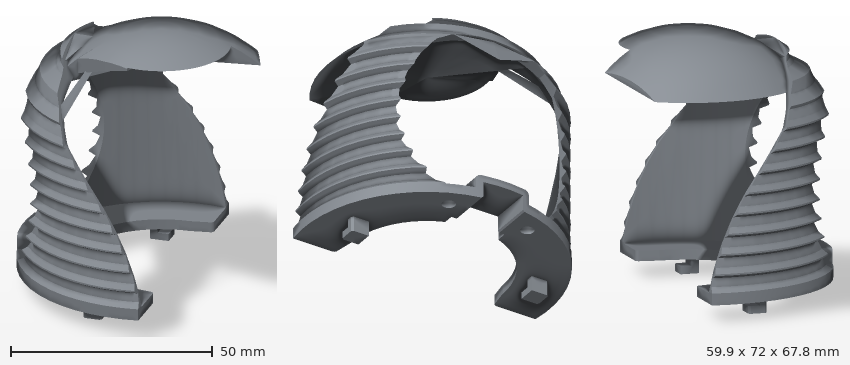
import cadquery as cq
import math

outer_radius = 36.0
end_x = 5.75

plate_top = 2.7
rim_top = 3.0
rim_chamfer = 0.2
plate_hole_radius = 22.3
end_hole_half_width = 23.25
end_fillet = 0.9

bridge_half_width = 7.8
bridge_top = 6.55
bridge_wall = 1.95
bridge_end_x = -23.75
bridge_fillet = 1.4
bridge_foot_chamfer = 0.4

screw_hole_diameter = 3.6
screw_hole_x = -28.45
screw_hole_y = 11.5

foot_depth = 4.2
foot_x = -10.95
foot_post_length = 1.95
foot_toe_length = 2.9
foot_toe_height = 1.9
foot_inner_y = 23.9
foot_width = 4.9
foot_chamfer = 0.5

inner_radius = 33.55
tooth_count = 8
tooth_pitch = 5.05
first_tooth_z = 7.35
tooth_tip_radius = 35.7
tooth_waist_radius = 34.7
valley_radius = 34.2
tooth_lip = 0.8
tooth_slope_height = 1.9
tooth_tip_height = 0.4
rim_slope_height = 1.4
crown_tip = (-22.7, 59.2)

window_half_width = 24.3
window_half_height = 28.1
window_centre_z = 24.85
window_top = 49.9
window_arch_radius = 36.0

cap_top = 63.6
cap_rim_radius = 29.1
cap_rim_z = 49.9
cap_apex_z = 55.6
disc_radius = 17.3
cap_start_angle = 55.0
cap_end_angle = 209.0
visor_corner = (23.9, 6.0)
flap_edge = [(-18.35, -10.4, 53.3), (-9.9, -14.6, 56.6), (-3.25, -17.3, 58.7)]

cap_drop = cap_top - cap_rim_z
cap_sphere_radius = (cap_rim_radius ** 2 + cap_drop ** 2) / (2 * cap_drop)
cap_centre_z = cap_top - cap_sphere_radius
clearance = 7.2
tall = 86.4


def polyhedron(points, faces):
    """Solid bounded by flat polygons; faces list point indices."""
    polygons = []
    for face in faces:
        corners = [cq.Vector(*points[i]) for i in face]
        polygons.append(cq.Face.makeFromWires(cq.Wire.makePolygon(corners, close=True)))
    return cq.Workplane(obj=cq.Solid.makeSolid(cq.Shell.makeShell(polygons)))


def tetrahedron(points):
    return polyhedron(points, [(0, 1, 2), (0, 3, 1), (1, 3, 2), (0, 2, 3)])


def half_disc(radius, height):
    """Cylinder about Z trimmed at the flat ends of the base."""
    length = end_x + radius + clearance
    trim = cq.Workplane("XY").box(length, 3 * radius, height, centered=(False, True, False))
    trim = trim.translate((end_x - length, 0, 0))
    return cq.Workplane("XY").circle(radius).extrude(height).intersect(trim)


def centred_block(x_start, x_end, half_width, height):
    block = cq.Workplane("XY").box(x_end - x_start, 2 * half_width, height, centered=(False, True, False))
    return block.translate((x_start, 0, 0))


def base_plate():
    plate = half_disc(outer_radius, plate_top)
    plate = plate.cut(cq.Workplane("XY").circle(plate_hole_radius).extrude(plate_top))
    flare = (
        cq.Workplane("XY")
        .polyline([
            (0, -plate_hole_radius),
            (end_x, -end_hole_half_width),
            (end_x, end_hole_half_width),
            (0, plate_hole_radius),
        ])
        .close()
        .extrude(plate_top)
    )
    plate = plate.cut(flare)
    inner_corners = cq.selectors.BoxSelector(
        (end_x - 0.1, -end_hole_half_width - 0.1, 0),
        (end_x + 0.1, end_hole_half_width + 0.1, plate_top),
    )
    plate = plate.edges("|Z").edges(inner_corners).fillet(end_fillet)
    plate = plate.cut(centred_block(-outer_radius, 0, bridge_half_width, plate_top))
    screw_points = [(screw_hole_x, -screw_hole_y), (screw_hole_x, screw_hole_y)]
    screw_holes = cq.Workplane("XY").pushPoints(screw_points).circle(screw_hole_diameter / 2).extrude(plate_top)
    return plate.cut(screw_holes)


def bridge():
    length = outer_radius + bridge_end_x
    inside_half_width = bridge_half_width - bridge_wall
    body = centred_block(-outer_radius, bridge_end_x, bridge_half_width, bridge_top)
    body = body.edges("|X and >Z").fillet(bridge_fillet)
    channel = centred_block(-outer_radius, bridge_end_x, inside_half_width, bridge_top - bridge_wall)
    body = body.cut(channel)
    inner_foot_edges = cq.selectors.BoxSelector(
        (-outer_radius - length, -inside_half_width - 0.1, -0.1),
        (0, inside_half_width + 0.1, 0.1),
    )
    body = body.edges("|X").edges(inner_foot_edges).chamfer(bridge_foot_chamfer)
    return body.intersect(half_disc(outer_radius, bridge_top))


def foot(side):
    toe_end = foot_x + foot_post_length + foot_toe_length
    hook = (
        cq.Workplane("XZ")
        .moveTo(foot_x, plate_top)
        .lineTo(foot_x, -foot_depth)
        .lineTo(toe_end, -foot_depth)
        .lineTo(toe_end, foot_toe_height - foot_depth)
        .lineTo(foot_x + foot_post_length, foot_toe_height - foot_depth)
        .lineTo(foot_x + foot_post_length, plate_top)
        .close()
        .extrude(-foot_width)
        .translate((0, foot_inner_y, 0))
    )
    hook = hook.faces(">Y").edges("<X or >X").chamfer(foot_chamfer)
    return hook if side > 0 else hook.mirror("XZ")


def shell_body():
    outline = [
        (inner_radius, 0),
        (outer_radius - rim_chamfer, 0),
        (outer_radius, rim_chamfer),
        (outer_radius, rim_top),
        (tooth_waist_radius, rim_top + rim_slope_height),
    ]
    for tooth in range(tooth_count):
        tip_z = first_tooth_z + tooth * tooth_pitch
        outline += [
            (valley_radius, tip_z - tooth_lip),
            (tooth_tip_radius, tip_z),
            (tooth_tip_radius, tip_z + tooth_tip_height),
            (tooth_waist_radius, tip_z + tooth_slope_height),
        ]
    stepped_crown = [
        (33.5, 46.9),
        (33.8, 47.7),
        (31.4, 50.0),
        (30.45, 52.1),
        (30.2, 52.8),
        (26.2, 54.8),
        (25.1, 55.8),
        (24.8, 57.1),
        (25.1, 57.5),
        (-crown_tip[0], crown_tip[1]),
    ]
    crown_inside = [
        (21.6, 56.9),
        (19.45, 53.3),
        (28.1, 50.4),
        (31.7, 46.1),
        (inner_radius, 41.75),
    ]
    outline += stepped_crown + crown_inside
    return cq.Workplane("XZ").polyline(outline).close().revolve(360, (0, 0, 0), (0, 1, 0))


def shell_side_profile():
    """Region kept in side elevation: everything left of the swept-back edge."""
    far_x = -outer_radius - clearance
    edge = (
        cq.Workplane("XZ")
        .moveTo(far_x, 0)
        .lineTo(end_x, 0)
        .lineTo(end_x, rim_top)
        .threePointArc((1.6, 17.6), (-3.75, 27.65))
        .lineTo(-14.75, 42.7)
        .lineTo(-16.9, 47.4)
        .lineTo(*crown_tip)
        .lineTo(far_x, crown_tip[1])
        .close()
    )
    return edge.extrude(outer_radius + clearance, both=True)


def window():
    """Oval opening through the front wall, flat at the plate and with a flatter arch at the top."""
    oval = (
        cq.Workplane("YZ")
        .center(0, window_centre_z)
        .ellipse(window_half_width, window_half_height)
        .extrude(-outer_radius - clearance)
    )
    arch = (
        cq.Workplane("YZ")
        .center(0, window_top - window_arch_radius)
        .circle(window_arch_radius)
        .extrude(-outer_radius - clearance)
    )
    sill = cq.Workplane("XY").box(tall, tall, plate_top, centered=(True, True, False))
    return oval.intersect(arch).cut(sill)


def shell():
    bridge_gap = centred_block(-outer_radius - clearance, 0, bridge_half_width, plate_top)
    return shell_body().intersect(shell_side_profile()).cut(window()).cut(bridge_gap)


def sphere_height(x, y):
    return cap_centre_z + math.sqrt(cap_sphere_radius ** 2 - x ** 2 - y ** 2)


def on_sphere(x, y):
    return (x, y, sphere_height(x, y))


def cone_sector(rim_radius, start_angle, sweep):
    """Space above a cone that runs from the apex on the axis through a rim circle on the sphere."""
    reach = 1.5
    rim_drop = cap_apex_z - sphere_height(rim_radius, 0)
    sector = (
        cq.Workplane("XZ")
        .moveTo(0, cap_apex_z)
        .lineTo(reach * rim_radius, cap_apex_z - reach * rim_drop)
        .lineTo(reach * rim_radius, tall)
        .lineTo(0, tall)
        .close()
        .revolve(sweep, (0, 0, 0), (0, 1, 0))
    )
    return sector.rotate((0, 0, 0), (0, 0, 1), start_angle)


def facet_prism(first_corner, second_corner):
    """Space above the flat triangle through the apex on the axis and two outer corners."""
    low = [(0, 0, cap_apex_z), first_corner, second_corner]
    high = [(x, y, tall) for x, y, z in low]
    return polyhedron(
        low + high,
        [(0, 2, 1), (3, 4, 5), (0, 1, 4, 3), (1, 2, 5, 4), (2, 0, 3, 5)],
    )


def cap():
    angle = math.radians(cap_start_angle)
    rim_corner = (cap_rim_radius * math.cos(angle), cap_rim_radius * math.sin(angle))
    wide_sweep = cap_end_angle - cap_start_angle
    space = cone_sector(cap_rim_radius, cap_start_angle, wide_sweep)
    space = space.union(cone_sector(disc_radius, cap_end_angle, 360 - wide_sweep))
    space = space.union(facet_prism(on_sphere(*visor_corner), on_sphere(*rim_corner)))
    for edge_start, edge_end in zip(flap_edge, flap_edge[1:]):
        space = space.union(facet_prism(edge_start, edge_end))
    ball = cq.Workplane("XY").sphere(cap_sphere_radius).translate((0, 0, cap_centre_z))
    return space.intersect(ball)


def beak():
    """Pointed facet hanging outward from the top of the window."""
    return polyhedron(
        [(-33.7, 0, 43.2), (-31.4, -11.9, 47.9), (-31.4, 11.9, 47.9), (-30.8, 0, 49.9), (-28.8, 0, 50.05)],
        [(0, 1, 3), (0, 3, 2), (0, 4, 1), (0, 2, 4), (1, 4, 3), (2, 3, 4)],
    )


def crest():
    """Facets joining the crown tip to the cap."""
    return polyhedron(
        [
            (crown_tip[0], 0, crown_tip[1]),
            (-17.65, 0, 59.05),
            (-21.5, -11.9, 56.5),
            (-21.5, 11.9, 56.5),
            (-19.8, 0, 53.3),
        ],
        [(0, 2, 1), (0, 1, 3), (0, 4, 2), (0, 3, 4), (1, 2, 4), (1, 4, 3)],
    )


def strut():
    """Sliver reaching from the swept-back shell edge to the cap."""
    return tetrahedron([(-15.3, -7.8, 56.1), (-14.4, -8.3, 55.0), (-18.35, -24.5, 50.0), (-17.0, -28.45, 46.6)])


result = shell().union(base_plate()).union(bridge())
for side in (-1, 1):
    result = result.union(foot(side))
for piece in (cap(), beak(), crest(), strut()):
    result = result.union(piece)